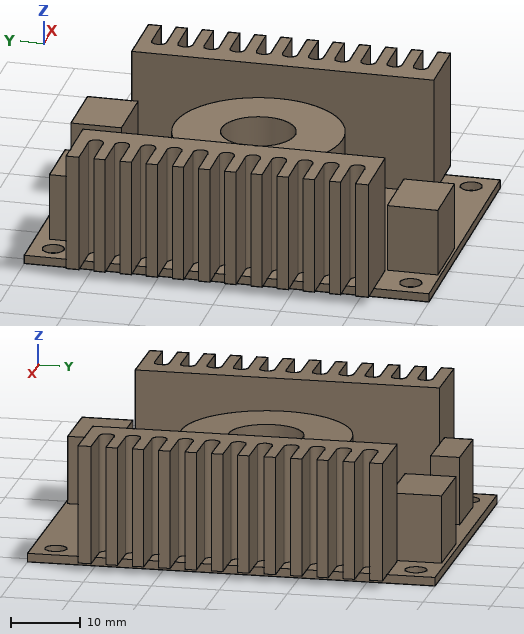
import cadquery as cq

board_width = 43.3
board_length = 60.0
board_thickness = 1.3
mount_hole_diameter = 3.17
mount_hole_spacing_x = 36.7
mount_hole_spacing_y = 53.0

components_center_y = 0.57

overall_width = 50.02
overall_height = 18.9
sink_depth = 10.25
sink_length = 44.8
sink_height = overall_height - board_thickness
slot_count = 11
slot_pitch = 3.88
slot_width = 2.2
slot_depth = 6.85

toroid_diameter = 25.0
toroid_bore_diameter = 10.9
toroid_height = 13.4

box_height = 10.1
box_width = 10.1
box_length = 7.5
small_box_width = 9.5
small_box_length = 4.25
boxes = [
    (box_width, box_length, -9.55, -25.85),
    (box_width, box_length, 9.25, 25.65),
    (small_box_width, small_box_length, -10.3, 25.75),
]


def make_board():
    """Flat plate with a mounting hole near each corner."""
    plate = cq.Workplane("XY").box(
        board_width, board_length, board_thickness, centered=(True, True, False)
    )
    return (
        plate.faces(">Z").workplane(origin=(0, 0, 0))
        .rect(mount_hole_spacing_x, mount_hole_spacing_y, forConstruction=True)
        .vertices()
        .hole(mount_hole_diameter)
    )


def on_board():
    """Workplane on the top face of the board."""
    return cq.Workplane("XY", origin=(0, 0, board_thickness))


def make_right_sink():
    """Heat sink on the +X side, with round-ended slots open toward +X."""
    outer_x = overall_width / 2
    block = (
        on_board()
        .center(outer_x - sink_depth / 2, components_center_y)
        .rect(sink_depth, sink_length)
        .extrude(sink_height)
    )
    slots = (
        on_board()
        .center(outer_x, components_center_y)
        .rarray(1, slot_pitch, 1, slot_count)
        .slot2D(2 * slot_depth, slot_width)
        .extrude(sink_height)
    )
    return block.cut(slots)


def make_toroid():
    """Ring standing on the board; the bore stops at the board."""
    return (
        on_board()
        .center(0, components_center_y)
        .circle(toroid_diameter / 2)
        .circle(toroid_bore_diameter / 2)
        .extrude(toroid_height)
    )


def make_box(width, length, center_x, center_y):
    """Plain rectangular component standing on the board."""
    return on_board().center(center_x, center_y).rect(width, length).extrude(box_height)


right_sink = make_right_sink()
left_sink = right_sink.mirror("YZ")

result = make_board().union(right_sink).union(left_sink).union(make_toroid())
for box in boxes:
    result = result.union(make_box(*box))